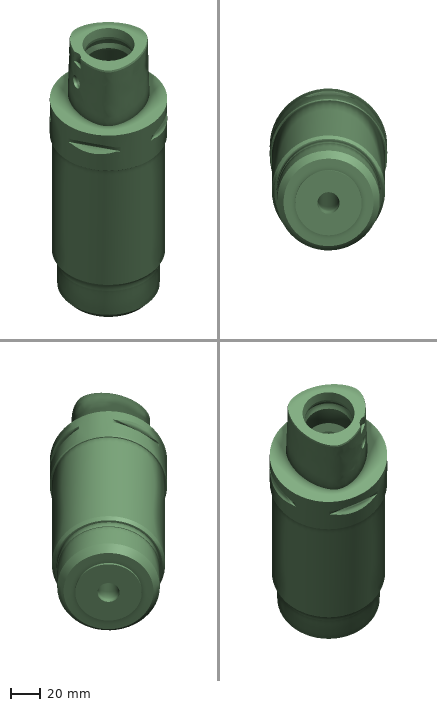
import cadquery as cq
import math

total_height = 215.5
flange_top = 168.0
flange_bottom = 136.5
body_radius = 38.5
flange_radius = 80.0 / 2
flange_chamfer = 0.6

nose_radius = 22.6
nose_height = 1.7
collar_radius = 35.0
collar_chamfer_width = 4.3
collar_chamfer_top = 7.1
collar_top = 28.2
neck_radius = 35.3
neck_top = 33.5
body_chamfer_radius = 36.8
body_bottom = 36.2

shank_mean_radius = 27.8
lobe_height = 2.0
taper_per_height = 1 / 40
rim_chamfer_width = 0.5
rim_chamfer_height = 1.3
outline_points = 48

mouth_radius = 17.7
bore_radius = 16.0
mouth_depth = 6.2
lip_depth = 8.2
groove_radius = 18.5
groove_flank = groove_radius - bore_radius
groove_end_depth = 16.2
bore_depth = 32.3
through_radius = 7.5
through_chamfer = 1.3

grip_count = 4
grip_center_height = 155.5
grip_floor_distance = 35.3
grip_floor_height = 3.7
grip_chamfer_height = 2.5
grip_chamfer_depth = 3.2
cutter_margin = 2.2

key_radius = 6.2
key_center_distance = 28.6
key_depth = 8.0
side_hole_radius = 4.7
side_hole_height = 192.5
side_hole_floor_distance = 19.4


def lobed_wire(height, mean_radius):
    """Closed constant-width curve with one of its three lobes toward +Y."""
    def point(index):
        angle = 2 * math.pi * index / outline_points
        along = mean_radius * math.cos(angle) + lobe_height * (2 * math.cos(2 * angle) - math.cos(4 * angle))
        across = mean_radius * math.sin(angle) - lobe_height * (2 * math.sin(2 * angle) + math.sin(4 * angle))
        return cq.Vector(across, along, height)

    points = [point(index) for index in range(outline_points)]
    return cq.Wire.assembleEdges([cq.Edge.makeSpline(points, periodic=True)])


def make_shank():
    def tapered_radius(height):
        return shank_mean_radius - taper_per_height * (height - flange_top)

    chamfer_start = total_height - rim_chamfer_height
    lower = lobed_wire(flange_top, tapered_radius(flange_top))
    middle = lobed_wire(chamfer_start, tapered_radius(chamfer_start))
    upper = lobed_wire(total_height, tapered_radius(chamfer_start) - rim_chamfer_width)
    taper = cq.Workplane(cq.Solid.makeLoft([lower, middle], True))
    rim = cq.Workplane(cq.Solid.makeLoft([middle, upper], True))
    return taper.union(rim)


def revolve_profile(points):
    return cq.Workplane("XZ").polyline(points).close().revolve(360, (0, 0), (0, 1))


def make_body():
    return revolve_profile([
        (0, 0),
        (nose_radius, 0),
        (nose_radius, nose_height),
        (collar_radius - collar_chamfer_width, nose_height),
        (collar_radius, collar_chamfer_top),
        (collar_radius, collar_top),
        (neck_radius, collar_top),
        (neck_radius, neck_top),
        (body_chamfer_radius, neck_top),
        (body_radius, body_bottom),
        (body_radius, flange_bottom),
        (flange_radius - flange_chamfer, flange_bottom),
        (flange_radius, flange_bottom + flange_chamfer),
        (flange_radius, flange_top),
        (0, flange_top),
    ])


def make_bore():
    def at_depth(radius, depth):
        return (radius, total_height - depth)

    return revolve_profile([
        at_depth(0, 0),
        at_depth(mouth_radius, 0),
        at_depth(bore_radius, mouth_depth),
        at_depth(bore_radius, lip_depth),
        at_depth(groove_radius, lip_depth),
        at_depth(groove_radius, groove_end_depth - groove_flank),
        at_depth(bore_radius, groove_end_depth),
        at_depth(bore_radius, bore_depth),
        at_depth(through_radius + through_chamfer, bore_depth),
        at_depth(through_radius, bore_depth + through_chamfer),
        at_depth(through_radius, total_height),
        at_depth(0, total_height),
    ])


def make_grip_cutter():
    """Straight groove along Y with a flat floor and chamfered upper and lower edges."""
    outer_distance = flange_radius + cutter_margin
    chamfer_start = flange_radius - grip_chamfer_depth
    chamfer_slope = grip_chamfer_height / grip_chamfer_depth
    half_floor = grip_floor_height / 2
    half_outer = half_floor + chamfer_slope * (outer_distance - chamfer_start)
    return (
        cq.Workplane("XZ", origin=(0, 0, grip_center_height))
        .polyline([
            (grip_floor_distance, -half_floor),
            (chamfer_start, -half_floor),
            (outer_distance, -half_outer),
            (outer_distance, half_outer),
            (chamfer_start, half_floor),
            (grip_floor_distance, half_floor),
        ])
        .close()
        .extrude(flange_radius, both=True)
    )


def make_key_slot():
    return (
        cq.Workplane("XY", origin=(0, -key_center_distance, total_height - key_depth))
        .circle(key_radius)
        .extrude(key_depth)
    )


def make_side_hole():
    return (
        cq.Workplane("XZ", origin=(0, -side_hole_floor_distance, side_hole_height))
        .circle(side_hole_radius)
        .extrude(flange_radius - side_hole_floor_distance)
    )


result = make_body().union(make_shank())
result = result.cut(make_bore()).cut(make_key_slot()).cut(make_side_hole())

grip_cutter = make_grip_cutter()
grip_spacing = 360 / grip_count
for index in range(grip_count):
    grip_angle = grip_spacing * (index + 0.5)
    result = result.cut(grip_cutter.rotate((0, 0, 0), (0, 0, 1), grip_angle))